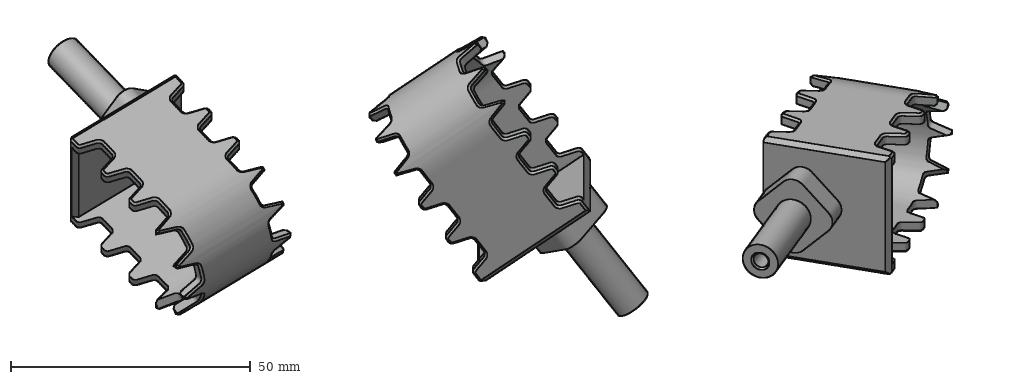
import cadquery as cq
import math

overall_length = 67.4
band_width = 28.0
band_height = 28.0

stud_length = 21.0
stud_diameter = 7.8
flange_thickness = 5.85
flange_side = 14.0
flange_corner_radius = 3.0
plate_thickness = 2.4
plate_chamfer = 1.0
inner_chamfer = 1.0

bore_diameter = 3.25
bore_mouth_diameter = 4.05

band_thickness = 2.35
band_edge_chamfer = 0.5

straight_pitch = 9.6
straight_gaps = 2
bend_pitch_angle = 36.0
bend_gaps = 6
gap_depth = 4.7
gap_root_half_width = 2.35
gap_mouth_half_width = 3.8
tooth_fillet = 0.95

half_width = band_width / 2
outer_radius = band_height / 2
inner_radius = outer_radius - band_thickness
plate_x = stud_length + flange_thickness
plate_inner_x = plate_x + plate_thickness
bend_x = overall_length - outer_radius
root_y = half_width - gap_depth
flange_reach = flange_side / math.sqrt(2) - flange_corner_radius * (math.sqrt(2) - 1)
stud_y = half_width - flange_reach


def u_prism(start_x, radius):
    """Full-width solid from start_x to a half-round end of the given radius."""
    return (
        cq.Workplane("XZ", origin=(0, half_width, 0))
        .moveTo(start_x, -radius)
        .lineTo(bend_x, -radius)
        .threePointArc((bend_x + radius, 0), (bend_x, radius))
        .lineTo(start_x, radius)
        .close()
        .extrude(band_width)
    )


def gap_cutter():
    """Cutter for one gap at the +Y edge, centred on X = 0 and pointing along +Z."""
    return (
        cq.Workplane("XY")
        .polyline([
            (-gap_mouth_half_width, half_width),
            (-gap_root_half_width, root_y),
            (gap_root_half_width, root_y),
            (gap_mouth_half_width, half_width),
        ])
        .close()
        .extrude(band_height)
        .edges("|Z and <Y")
        .fillet(tooth_fillet)
    )


def gap_cutters():
    """All gap cutters at the +Y edge, on both straight legs and around the bend."""
    cutter = gap_cutter()
    cutters = []
    for index in range(bend_gaps):
        angle = index * bend_pitch_angle
        cutters.append(cutter.rotate((0, 0, 0), (0, 1, 0), angle).translate((bend_x, 0, 0)))
    for index in range(1, straight_gaps + 1):
        upper = cutter.translate((bend_x - index * straight_pitch, 0, 0))
        cutters += [upper, upper.mirror("XY")]
    return cutters


def plain_band():
    """Closed band with its end plate, before the teeth are cut."""
    band = u_prism(plate_x, outer_radius).cut(u_prism(plate_inner_x, inner_radius))
    band = band.faces("<X").edges("|Y or <Y").chamfer(plate_chamfer)
    inner_edge = cq.selectors.NearestToPointSelector((plate_inner_x, -half_width, 0))
    return band.edges("|Z").edges(inner_edge).chamfer(inner_chamfer)


def on_outer_rim(edge):
    """True for edges that run along a toothed rim of the band's outer surface."""
    middle = edge.positionAt(0.5)
    depth_below_surface = outer_radius - math.hypot(max(middle.x - bend_x, 0), middle.z)
    crosses_band = edge.geomType() == "LINE" and abs(edge.tangentAt(0.5).y) > 0.99
    return abs(depth_below_surface) < 0.01 and not crosses_band


def on_straight_tip(edge):
    """True for tip corners of the teeth on the straight legs."""
    middle = edge.positionAt(0.5)
    at_tip = abs(abs(middle.y) - half_width) < 0.01
    return at_tip and plate_inner_x < middle.x < bend_x


def toothed_band():
    """Band with teeth along both edges and its outer rims chamfered.

    Teeth on the straight legs have rounded tips; teeth on the bend keep sharp ones.
    """
    band = plain_band()
    for cutter in gap_cutters():
        band = band.cut(cutter).cut(cutter.mirror("XZ"))
    tips = [edge for edge in band.edges("|Z").vals() if on_straight_tip(edge)]
    band = band.newObject(tips).fillet(tooth_fillet)
    rim = [edge for edge in band.edges().vals() if on_outer_rim(edge)]
    return band.newObject(rim).chamfer(band_edge_chamfer)


def mount():
    """Diamond-set square flange and stud, without the bore."""
    flange = (
        cq.Workplane("YZ", origin=(stud_length, stud_y, 0))
        .transformed(rotate=(0, 0, 45))
        .rect(flange_side, flange_side)
        .extrude(flange_thickness)
        .edges("|X")
        .fillet(flange_corner_radius)
    )
    stud = (
        cq.Workplane("YZ", origin=(0, stud_y, 0))
        .circle(stud_diameter / 2)
        .extrude(stud_length)
    )
    return flange.union(stud)


def bore():
    """Blind bore along the stud with a 45 degree countersunk mouth."""
    bore_radius = bore_diameter / 2
    mouth_radius = bore_mouth_diameter / 2
    return (
        cq.Workplane("XY", origin=(0, stud_y, 0))
        .polyline([
            (0, 0),
            (0, mouth_radius),
            (mouth_radius - bore_radius, bore_radius),
            (stud_length, bore_radius),
            (stud_length, 0),
        ])
        .close()
        .revolve(360, (0, 0, 0), (1, 0, 0))
    )


result = toothed_band().union(mount()).cut(bore())